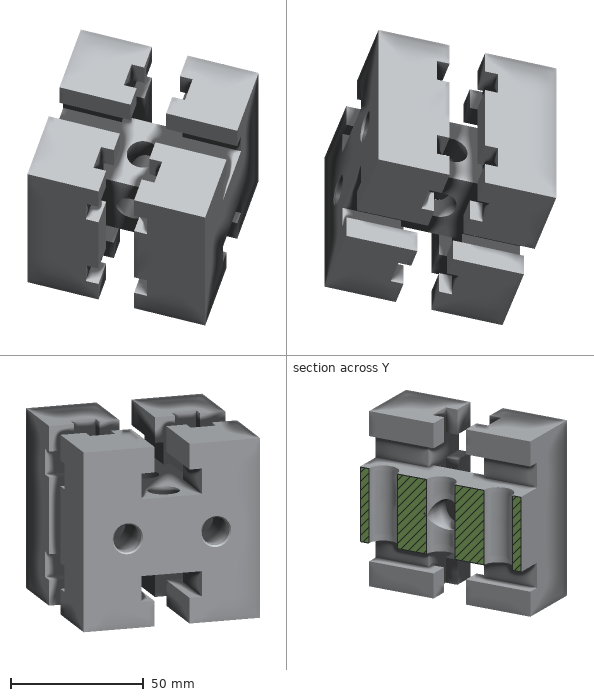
import cadquery as cq

side = 70.0
half_side = side / 2

neck_width = 14.0
head_width = 24.0
lip_depth = 10.0
head_depth = 10.0

through_diameter = 12.25
outer_hole_spacing = 50.0

blind_diameter = 10.9
blind_depth = 20.0
mouth_chamfer = 0.55
blind_spacing = 35.0


def slot_pair(plane):
    """Two opposite T-slots running the full length of the cube along the plane's normal."""
    slots = cq.Workplane(plane).workplane(offset=-half_side)
    neck_center = half_side - lip_depth / 2
    head_center = half_side - lip_depth - head_depth / 2
    necks = (
        slots.pushPoints([(0, neck_center), (0, -neck_center)])
        .rect(neck_width, lip_depth)
        .extrude(side)
    )
    heads = (
        slots.pushPoints([(0, head_center), (0, -head_center)])
        .rect(head_width, head_depth)
        .extrude(side)
    )
    return necks.union(heads)


def through_holes(plane, points):
    """Plain round holes across the whole cube along the plane's normal."""
    return (
        cq.Workplane(plane)
        .pushPoints(points)
        .circle(through_diameter / 2)
        .extrude(half_side, both=True)
    )


def blind_hole(y):
    """Flat-bottomed hole bored from the -X face, chamfered outward at its mouth."""
    face = cq.Workplane("YZ", origin=(-half_side, y, 0))
    bore = face.circle(blind_diameter / 2).extrude(blind_depth)
    mouth = (
        face.circle(blind_diameter / 2 + mouth_chamfer)
        .workplane(offset=mouth_chamfer)
        .circle(blind_diameter / 2)
        .loft(ruled=True)
    )
    return bore.union(mouth)


result = cq.Workplane("XY").box(side, side, side)

for slot_plane in ("XZ", "YZ", "XY"):
    result = result.cut(slot_pair(slot_plane))

hole_row = [(x, 0) for x in (-outer_hole_spacing / 2, 0, outer_hole_spacing / 2)]
result = result.cut(through_holes("XY", hole_row))
result = result.cut(through_holes("XZ", [(0, 0)]))

for hole_y in (-blind_spacing / 2, blind_spacing / 2):
    result = result.cut(blind_hole(hole_y))